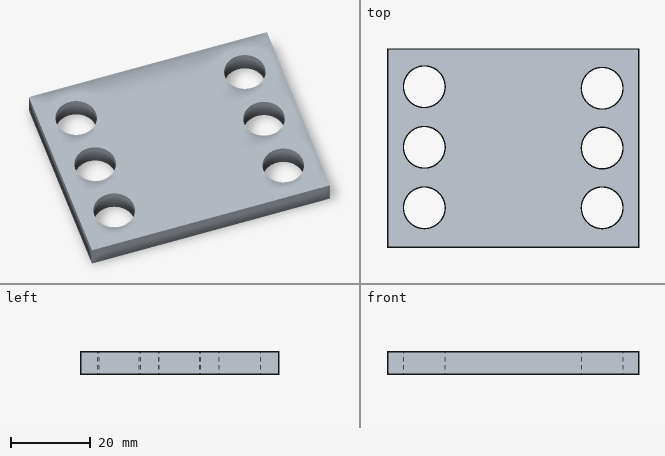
import cadquery as cq

length = 63.0
width = 49.75
thickness = 5.75

hole_diameter = 10.4
column_offset = 22.3
front_row_y = -15.0
holes_per_column = 3
left_pitch = 15.2
right_pitch = 15.0


def column_centers(x, pitch):
    """Centers of one column of holes, from the front row towards +Y."""
    return [(x, front_row_y + i * pitch) for i in range(holes_per_column)]


hole_centers = column_centers(-column_offset, left_pitch) + column_centers(column_offset, right_pitch)

plate = cq.Workplane("XY").box(length, width, thickness)
result = plate.faces(">Z").workplane().pushPoints(hole_centers).hole(hole_diameter)